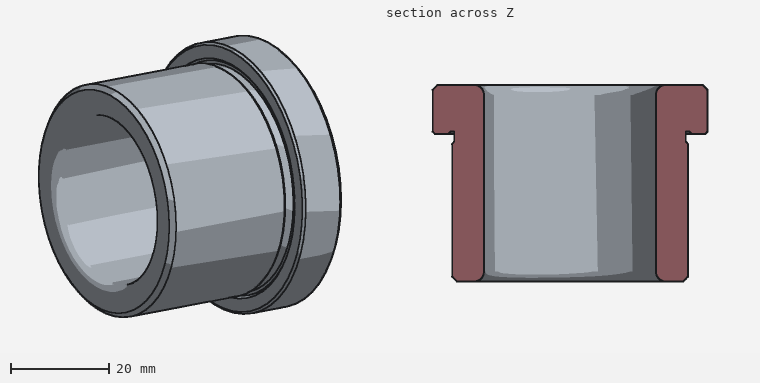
import cadquery as cq

length = 40.0
flange_radius = 28.0
flange_thickness = 10.0
body_radius = 24.0
bore_radius = 17.5
bore_rounding = 2.0
back_chamfer = 1.0
flange_front_chamfer = 0.5
end_chamfer = 1.0
relief_radius = 23.6
relief_width = 2.0
relief_slope_length = 0.55
face_recess_radius = 24.75
face_recess_depth = 0.5

front = -length / 2
back = length / 2
flange_front = back - flange_thickness
relief_front = flange_front - relief_width


def bushing_profile():
    """Half section: X is the radius and Y is the position along the axis."""
    return (
        cq.Workplane("XY")
        .moveTo(bore_radius + bore_rounding, front)
        .lineTo(body_radius - end_chamfer, front)
        .lineTo(body_radius, front + end_chamfer)
        .lineTo(body_radius, relief_front)
        .lineTo(relief_radius, relief_front + relief_slope_length)
        .lineTo(relief_radius, flange_front + face_recess_depth)
        .lineTo(face_recess_radius - face_recess_depth, flange_front + face_recess_depth)
        .lineTo(face_recess_radius, flange_front)
        .lineTo(flange_radius - flange_front_chamfer, flange_front)
        .lineTo(flange_radius, flange_front + flange_front_chamfer)
        .lineTo(flange_radius, back - back_chamfer)
        .lineTo(flange_radius - back_chamfer, back)
        .lineTo(bore_radius + bore_rounding, back)
        .radiusArc((bore_radius, back - bore_rounding), -bore_rounding)
        .lineTo(bore_radius, front + bore_rounding)
        .radiusArc((bore_radius + bore_rounding, front), -bore_rounding)
        .close()
    )


result = bushing_profile().revolve(360, (0, 0, 0), (0, 1, 0))